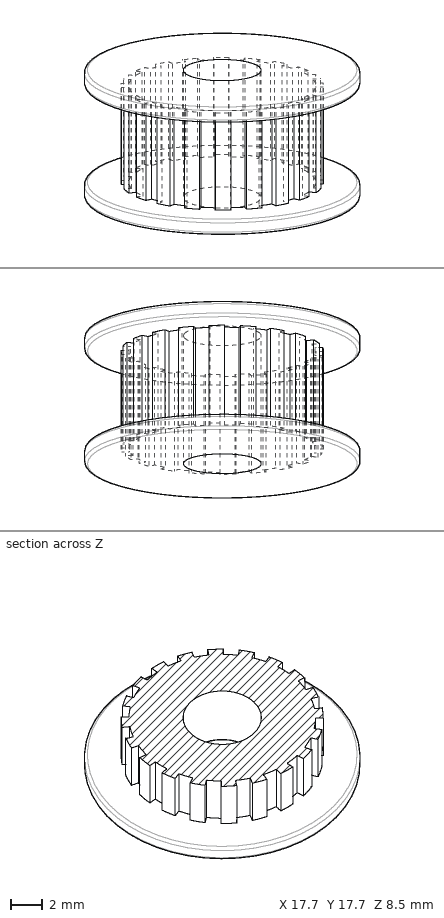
import cadquery as cq
import math

flange_diameter = 17.7
height = 8.5
flange_thickness = 1.01
flange_edge_radius = 0.2
bore_diameter = 5.0

tooth_count = 20
tip_radius = 6.5
root_radius = 6.0
tooth_pitch_angle = 360.0 / tooth_count
tooth_half_angle = tooth_pitch_angle / 4.0


def polar_point(radius, angle):
    """Point at a radius and an angle in degrees from +X."""
    return (
        radius * math.cos(math.radians(angle)),
        radius * math.sin(math.radians(angle)),
    )


def make_flange(base_z):
    """Disc with rounded upper and lower rims."""
    return (
        cq.Workplane("XY", origin=(0, 0, base_z))
        .circle(flange_diameter / 2.0)
        .extrude(flange_thickness)
        .edges()
        .fillet(flange_edge_radius)
    )


def make_toothed_drum():
    """Drum whose outline alternates tip arcs and root arcs."""
    outline = cq.Workplane("XY").moveTo(*polar_point(tip_radius, -tooth_half_angle))
    for tooth in range(tooth_count):
        tooth_angle = tooth * tooth_pitch_angle
        groove_angle = tooth_angle + tooth_pitch_angle / 2.0
        tooth_end = tooth_angle + tooth_half_angle
        next_tooth_start = tooth_angle + tooth_pitch_angle - tooth_half_angle
        outline = (
            outline
            .threePointArc(polar_point(tip_radius, tooth_angle), polar_point(tip_radius, tooth_end))
            .lineTo(*polar_point(root_radius, tooth_end))
            .threePointArc(
                polar_point(root_radius, groove_angle),
                polar_point(root_radius, next_tooth_start),
            )
        )
        if tooth < tooth_count - 1:
            outline = outline.lineTo(*polar_point(tip_radius, next_tooth_start))
    return (
        outline.close()
        .extrude(height - flange_thickness)
        .translate((0, 0, flange_thickness / 2.0))
    )


def make_bore():
    """Cylinder through the full height."""
    return cq.Workplane("XY").circle(bore_diameter / 2.0).extrude(height)


lower_flange = make_flange(0.0)
upper_flange = make_flange(height - flange_thickness)
result = make_toothed_drum().union(lower_flange).union(upper_flange).cut(make_bore())